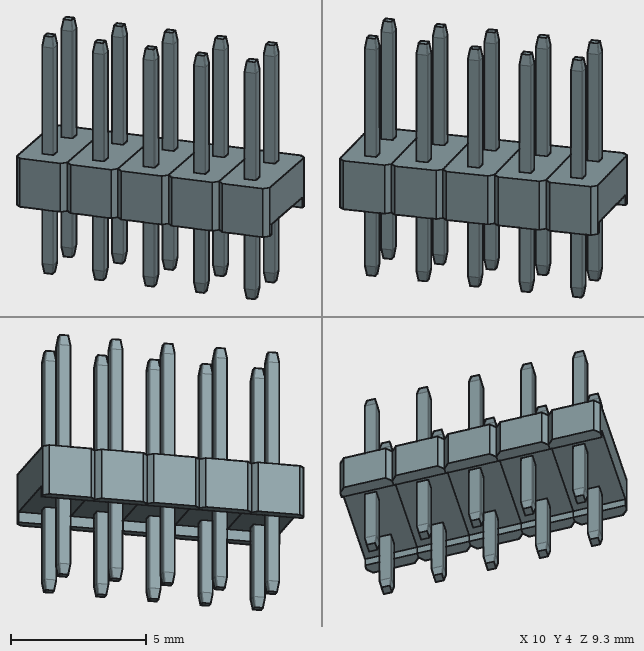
import cadquery as cq

overall_length = 10.01
position_count = 5
pins_per_position = 2
pitch = overall_length / position_count

block_length = pitch
block_width = pins_per_position * pitch
block_height = 1.9
corner_chamfer = 0.2
foot_width = 0.4
foot_height = 0.4

pin_size = 0.45
pin_tip_size = 0.32
pin_tip_length = 0.4
pin_edge_radius = 0.02
pin_total_length = 9.3
pin_length_above = 4.6
pin_top = block_height + pin_length_above
pin_bottom = pin_top - pin_total_length


def centered_places(count):
    """Places one pitch apart, centered on zero."""
    return [(index - (count - 1) / 2) * pitch for index in range(count)]


def make_block():
    """Block with chamfered upright corners, standing on a foot along each Y side."""
    block = cq.Workplane("XY").box(block_length, block_width, block_height, centered=(True, True, False))
    block = block.edges("|Z").chamfer(corner_chamfer)
    channel_width = block_width - 2 * foot_width
    channel = cq.Workplane("XY").box(block_length, channel_width, foot_height, centered=(True, True, False))
    return block.cut(channel)


def make_pin_section(size, height=0.0):
    """Square of the given size with rounded corners, raised by height."""
    section = cq.Sketch().rect(size, size).vertices().fillet(pin_edge_radius)
    return section.moved(cq.Location(cq.Vector(0, 0, height)))


def make_pin_tip(base_z, end_z):
    """Tapered tip from the full pin section at base_z to the small end at end_z."""
    base_section = make_pin_section(pin_size)
    end_section = make_pin_section(pin_tip_size, end_z - base_z)
    return cq.Workplane("XY", origin=(0, 0, base_z)).placeSketch(base_section, end_section).loft()


def make_pin():
    """Square pin with slightly rounded long edges and a tapered tip at both ends."""
    shank_bottom = pin_bottom + pin_tip_length
    shank_top = pin_top - pin_tip_length
    shank = cq.Workplane("XY", origin=(0, 0, shank_bottom)).placeSketch(make_pin_section(pin_size))
    shank = shank.extrude(shank_top - shank_bottom)
    upper_tip = make_pin_tip(shank_top, pin_top)
    lower_tip = make_pin_tip(shank_bottom, pin_bottom)
    return shank.union(upper_tip).union(lower_tip)


def make_segment():
    """One position of the header: a block in one piece with its pair of pins."""
    body = make_block()
    pin = make_pin()
    for pin_y in centered_places(pins_per_position):
        body = body.union(pin.translate((0, pin_y, 0)))
    return body.solids()


segment = make_segment()
segments = [segment.translate((segment_x, 0, 0)) for segment_x in centered_places(position_count)]

result = cq.Compound.makeCompound([body.val() for body in segments])